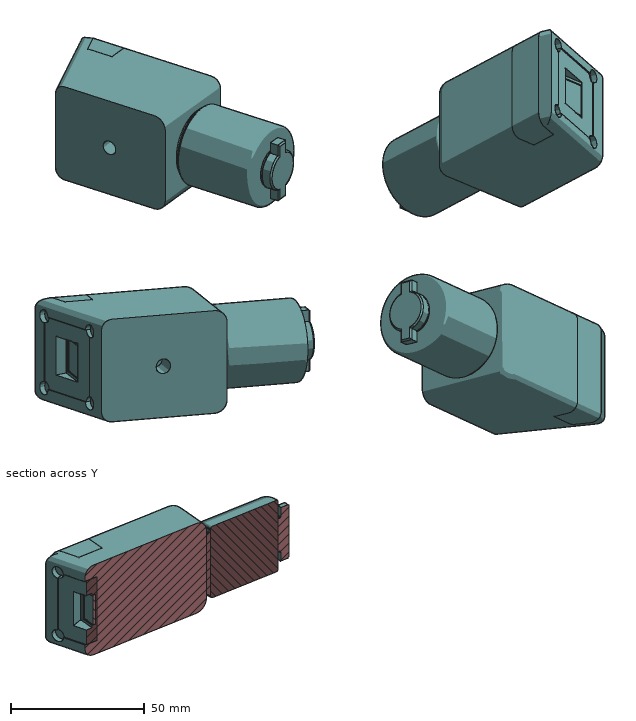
import cadquery as cq
import math


overall_length = 102.5
housing_length = 63.5
housing_depth = 40.4
housing_height = 40.0
slant_angle = 20.0
nose_bevel_depth = 2.0
nose_bevel_length = 5.0
rim_radius = 4.0
end_radius = 5.0
mount_hole_x = 38.3
mount_hole_diameter = 5.6
mount_hole_depth = 10.2

plate_size = 28.0
plate_center_y = 20.1
plate_sink = 0.5
pocket_diameter = 5.0
pocket_depth = 2.4
plate_thickness = 4.7
seat_depth = plate_sink + plate_thickness

window_width = 13.1
window_offset = 0.7
window_height = 15.1
window_floor_x = 9.3
lens_near_y = 14.8
lens_width = 12.3
lens_height = 12.9
lens_sink = 0.5
lens_thickness = 1.0

indicator_setback = 5.3
indicator_depth = 11.0
indicator_end_x = 19.9

axis_y = 21.2
nipple_diameter = 27.6
collar_diameter = 29.8
nipple_cylinder_length = 0.7
collar_cone_length = 0.5
sleeve_start_x = 65.4
sleeve_end_x = 97.4
sleeve_diameter = 32.0
sleeve_edge_radius = 1.0
neck_diameter = 15.0
knob_diameter = 15.8
knob_length = 4.3
knob_bevel = 0.6
wing_span = 23.9
wing_width = 5.0
wing_length = 4.0

slant_slope = math.tan(math.radians(slant_angle))
slant_cosine = math.cos(math.radians(slant_angle))
slant_sine = math.sin(math.radians(slant_angle))
nose_tip_y = housing_depth - nose_bevel_depth


def nose_face_x(y):
    """X of the nose face at a given Y."""
    return (nose_tip_y - y) * slant_slope


def nose_plane(depth):
    """Workplane parallel to the nose face, centred on the plate, a given depth behind the face."""
    center_x = nose_face_x(plate_center_y) + depth * slant_cosine
    center_y = plate_center_y + depth * slant_sine
    return cq.Workplane(cq.Plane(
        origin=(center_x, center_y, 0),
        xDir=(-slant_sine, slant_cosine, 0),
        normal=(-slant_cosine, -slant_sine, 0),
    ))


def axis_plane(x):
    """Workplane across the connector axis, facing +X."""
    return cq.Workplane("YZ", origin=(x, axis_y, 0))


def block(x_range, y_range, height):
    """Box given by its X and Y limits, centred on Z = 0."""
    length = x_range[1] - x_range[0]
    depth = y_range[1] - y_range[0]
    return (
        cq.Workplane("XY", origin=(x_range[0], y_range[0], 0))
        .box(length, depth, height, centered=(False, False, True))
    )


def make_envelope():
    """Solid outer shape of the housing, with its rounded rim."""
    outline = [
        (nose_face_x(0), 0),
        (housing_length, 0),
        (housing_length, housing_depth),
        (nose_bevel_length, housing_depth),
        (0, nose_tip_y),
    ]
    shape = (
        cq.Workplane("XY").polyline(outline).close()
        .extrude(housing_height / 2, both=True)
    )
    shape = shape.faces(">X").edges("|Y").fillet(end_radius)
    back_rim = shape.faces(">Y").edges("not <X")
    nose_rim = shape.faces("|Z").edges("not (|X or |Y)")
    return back_rim.add(nose_rim).fillet(rim_radius)


def make_indicator(envelope):
    """Bar through the full height, flush with the outside of the housing."""
    setback_x = indicator_setback / slant_cosine
    near_y = housing_depth - indicator_depth
    outline = [
        (nose_face_x(near_y) + setback_x, near_y),
        (indicator_end_x, near_y),
        (indicator_end_x, housing_depth),
        (nose_face_x(housing_depth) + setback_x, housing_depth),
    ]
    bar = (
        cq.Workplane("XY").polyline(outline).close()
        .extrude(housing_height / 2, both=True)
    )
    return bar.intersect(envelope)


def make_plate_square(depth, thickness):
    """Square slab of the plate's size whose rear is a given depth behind the nose face."""
    return nose_plane(depth).rect(plate_size, plate_size).extrude(thickness)


def make_corner_pockets(depth):
    """Cylinders at the four plate corners, reaching from the nose face to a given depth."""
    return (
        nose_plane(depth)
        .rect(plate_size, plate_size, forConstruction=True).vertices()
        .circle(pocket_diameter / 2).extrude(depth)
    )


def make_window():
    """Opening with sides square to the plate and a floor square to X."""
    opening = (
        nose_plane(window_floor_x).center(window_offset, 0)
        .rect(window_width, window_height).extrude(window_floor_x)
    )
    behind_floor = block((window_floor_x, housing_length), (0, housing_depth), housing_height)
    return opening.cut(behind_floor)


def make_lens_space(front_x):
    """Room from a given X to the back of the lens."""
    lens_end_x = window_floor_x + lens_sink + lens_thickness
    return block((front_x, lens_end_x), (lens_near_y, lens_near_y + lens_width), lens_height)


def make_lens():
    return make_lens_space(window_floor_x + lens_sink)


def make_plate():
    plate = make_plate_square(seat_depth, plate_thickness)
    for space in (make_corner_pockets(seat_depth), make_window(), make_lens_space(window_floor_x)):
        plate = plate.cut(space)
    return plate


def make_housing(envelope, indicator):
    plate_seat = make_plate_square(seat_depth, seat_depth).cut(make_corner_pockets(seat_depth))
    mount_hole = (
        cq.Workplane("XZ", origin=(mount_hole_x, 0, 0))
        .circle(mount_hole_diameter / 2).extrude(-mount_hole_depth)
    )
    housing = envelope.cut(indicator)
    spaces = [
        plate_seat,
        make_corner_pockets(pocket_depth),
        make_window(),
        make_lens_space(window_floor_x),
        mount_hole,
    ]
    for space in spaces:
        housing = housing.cut(space)
    return housing


def make_nipple():
    """Short neck that widens to a collar against the sleeve."""
    cone_start_x = housing_length + nipple_cylinder_length
    collar_start_x = cone_start_x + collar_cone_length
    profile = [
        (housing_length, 0),
        (housing_length, nipple_diameter / 2),
        (cone_start_x, nipple_diameter / 2),
        (collar_start_x, collar_diameter / 2),
        (sleeve_start_x, collar_diameter / 2),
        (sleeve_start_x, 0),
    ]
    return (
        cq.Workplane("XY", origin=(0, axis_y, 0)).polyline(profile).close()
        .revolve(360, (0, 0, 0), (1, 0, 0))
    )


def make_sleeve():
    return (
        axis_plane(sleeve_start_x).circle(sleeve_diameter / 2)
        .extrude(sleeve_end_x - sleeve_start_x)
        .edges().fillet(sleeve_edge_radius)
    )


def make_knob():
    """Neck, round knob and a pair of wings."""
    knob_start_x = overall_length - knob_length
    neck = axis_plane(sleeve_end_x).circle(neck_diameter / 2).extrude(knob_start_x - sleeve_end_x)
    disc = (
        axis_plane(knob_start_x).circle(knob_diameter / 2).extrude(knob_length)
        .faces(">X").chamfer(knob_bevel)
    )
    wings = (
        axis_plane(overall_length - wing_length).rect(wing_width, wing_span).extrude(wing_length)
        .faces(">X").chamfer(knob_bevel)
    )
    return neck.union(disc).union(wings)


envelope = make_envelope()
indicator = make_indicator(envelope)
housing = make_housing(envelope, indicator)
plate = make_plate()
lens = make_lens()
nipple = make_nipple()
sleeve = make_sleeve()
knob = make_knob()

result = cq.Compound.makeCompound([
    housing.val(),
    indicator.val(),
    plate.val(),
    lens.val(),
    nipple.val(),
    sleeve.val(),
    knob.val(),
])